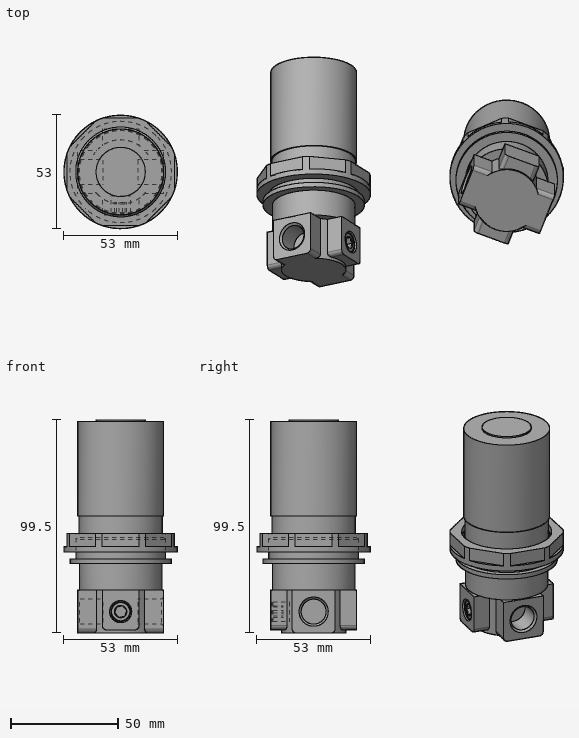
import cadquery as cq
import math

TOTAL_HEIGHT = 99.5
NUT_DIAMETER = 53.0

BLOCK_TOP = 20.0
FLANGE_BOTTOM = 32.4
FLANGE_TOP = 34.6
NUT_SEAT = 37.7
NUT_FLATS_BOTTOM = 40.3
THREAD_TOP = 44.6
NUT_TOP = 46.6
KNOB_BOTTOM = 54.5
KNOB_TOP = 98.8

CORE_DIAMETER = 30.0
BARREL_DIAMETER = 38.6
FLANGE_DIAMETER = 47.4
THREAD_DIAMETER = 42.0
THREAD_CHAMFER = 1.0
COLLAR_DIAMETER = 39.0
KNOB_DIAMETER = 40.2
BUTTON_DIAMETER = 23.0

BLOCK_SPAN = 40.2
PIPE_BLOCK_WIDTH = 20.1
GAUGE_BLOCK_WIDTH = 17.1
GAUGE_BLOCK_BOTTOM = 1.5
BLOCK_FILLET = 2.0
PORT_HEIGHT = BLOCK_TOP / 2

PIPE_PORT_DIAMETER = 11.6
PIPE_PORT_CHAMFER = 1.0
PIPE_PORT_DEPTH = 11.9

GAUGE_PORT_DIAMETER = 9.2
GAUGE_PORT_CHAMFER = 0.6
PLUG_RECESS = 0.8
PLUG_LENGTH = 8.0
PLUG_CHAMFER = 0.3
SOCKET_SIDES = 6
SOCKET_FLATS = 5.0
SOCKET_DEPTH = 5.0
SOCKET_TURN = 12.0

NUT_FLATS = 50.1

SOCKET_CORNERS = SOCKET_FLATS / math.cos(math.pi / SOCKET_SIDES)


def cylinder(diameter, bottom, top):
    """Upright cylinder on the body axis between two heights."""
    return cq.Workplane("XY").workplane(offset=bottom).circle(diameter / 2).extrude(top - bottom)


def cone(large_diameter, small_diameter):
    """45 degree cone frustum along +Z, with its large end on the XY plane."""
    depth = (large_diameter - small_diameter) / 2
    return cq.Workplane(cq.Solid.makeCone(large_diameter / 2, small_diameter / 2, depth))


def block(size_x, size_y, bottom, fillet_edges):
    """Rectangular port block up to BLOCK_TOP, with its two long lower edges rounded."""
    blank = cq.Workplane("XY").workplane(offset=bottom).rect(size_x, size_y).extrude(BLOCK_TOP - bottom)
    return blank.faces("<Z").edges(fillet_edges).fillet(BLOCK_FILLET)


def chamfered_hole(diameter, chamfer, depth):
    """Cutter for a blind hole with a chamfered mouth, sunk along +Z from the XY plane."""
    bore = cq.Workplane("XY").circle(diameter / 2).extrude(depth)
    return bore.union(cone(diameter + 2 * chamfer, diameter))


def on_front_face(shape):
    """Moves a shape sunk along +Z to the gauge port, sunk along +Y from the front face."""
    turned = shape.rotate((0, 0, 0), (1, 0, 0), -90)
    return turned.translate((0, -BLOCK_SPAN / 2, PORT_HEIGHT))


def on_side_face(shape, turn):
    """Moves a shape sunk along +Z to the pipe port on the -X side, then turns it about the body axis."""
    sunk = shape.rotate((0, 0, 0), (0, 1, 0), 90).translate((-BLOCK_SPAN / 2, 0, PORT_HEIGHT))
    return sunk.rotate((0, 0, 0), (0, 0, 1), turn)


def make_body():
    """Port blocks, barrel, flange, thread, collar and knob, as one solid."""
    body = cylinder(CORE_DIAMETER, 0, BLOCK_TOP)
    body = body.union(block(BLOCK_SPAN, PIPE_BLOCK_WIDTH, 0, "|X"))
    body = body.union(block(GAUGE_BLOCK_WIDTH, BLOCK_SPAN, GAUGE_BLOCK_BOTTOM, "|Y"))

    thread = cylinder(THREAD_DIAMETER, FLANGE_TOP, THREAD_TOP)
    body = body.union(thread.faces(">Z").chamfer(THREAD_CHAMFER))

    turned_sections = [
        (BARREL_DIAMETER, BLOCK_TOP, FLANGE_BOTTOM),
        (FLANGE_DIAMETER, FLANGE_BOTTOM, FLANGE_TOP),
        (COLLAR_DIAMETER, THREAD_TOP, KNOB_BOTTOM),
        (KNOB_DIAMETER, KNOB_BOTTOM, KNOB_TOP),
        (BUTTON_DIAMETER, KNOB_TOP, TOTAL_HEIGHT),
    ]
    for diameter, bottom, top in turned_sections:
        body = body.union(cylinder(diameter, bottom, top))

    pipe_port = chamfered_hole(PIPE_PORT_DIAMETER, PIPE_PORT_CHAMFER, PIPE_PORT_DEPTH)
    for turn in (0, 180):
        body = body.cut(on_side_face(pipe_port, turn))

    gauge_port = chamfered_hole(GAUGE_PORT_DIAMETER, GAUGE_PORT_CHAMFER, PLUG_RECESS + PLUG_LENGTH)
    return body.cut(on_front_face(gauge_port))


def make_nut():
    """Octagonal panel nut with a round washer flange, screwed onto the body thread."""
    nut = cylinder(NUT_DIAMETER, NUT_SEAT, NUT_TOP)

    flats_height = NUT_TOP - NUT_FLATS_BOTTOM
    square = (
        cq.Workplane("XY").workplane(offset=NUT_FLATS_BOTTOM)
        .rect(NUT_FLATS, NUT_FLATS).extrude(flats_height)
    )
    octagon = square.intersect(square.rotate((0, 0, 0), (0, 0, 1), 45))
    around_octagon = cylinder(2 * NUT_DIAMETER, NUT_FLATS_BOTTOM, NUT_TOP).cut(octagon)
    nut = nut.cut(around_octagon)

    return nut.cut(cylinder(THREAD_DIAMETER, NUT_SEAT, NUT_TOP))


def make_plug():
    """Screw plug with a hexagon socket, filling the gauge port just below the front face."""
    plug = cq.Workplane("XY").circle(GAUGE_PORT_DIAMETER / 2).extrude(PLUG_LENGTH)
    plug = plug.faces("<Z").chamfer(PLUG_CHAMFER)
    socket = cq.Workplane("XY").polygon(SOCKET_SIDES, SOCKET_CORNERS).extrude(SOCKET_DEPTH)
    socket = socket.rotate((0, 0, 0), (0, 0, 1), -SOCKET_TURN)
    socket = socket.union(cone(SOCKET_CORNERS, SOCKET_FLATS))
    return on_front_face(plug.cut(socket).translate((0, 0, PLUG_RECESS)))


body = make_body()
nut = make_nut()
plug = make_plug()

result = cq.Compound.makeCompound([body.solids().val(), nut.solids().val(), plug.solids().val()])